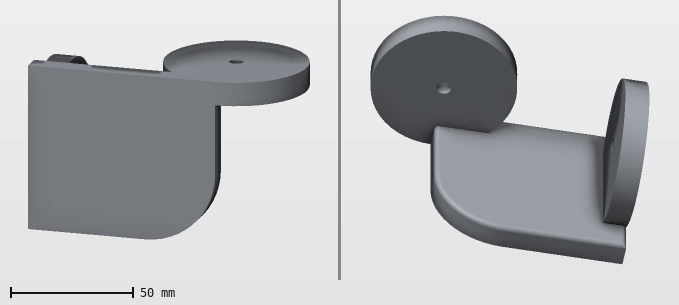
import cadquery as cq

overall_length = 110.0
plate_height = 70.0
thickness = 10.0
disc_radius = 30.0
hole_diameter = 5.9
edge_round = 2.0

plate_length = overall_length - disc_radius

side_hole_y = 31.4
side_hole_z = 37.5


def make_plate():
    """Upright plate with one large lower corner and a rounded inner rim."""
    plate = cq.Workplane("XY").box(plate_length, thickness, plate_height, centered=False)
    plate = plate.edges(">X and <Z").fillet(disc_radius)
    return plate.faces(">Y").edges().fillet(edge_round)


def make_top_disc():
    """Horizontal disc, flush with the plate's top and tangent to its outer face."""
    return (
        cq.Workplane("XY", origin=(plate_length, disc_radius, plate_height))
        .circle(disc_radius)
        .extrude(-thickness)
    )


def make_side_disc():
    """Upright disc, flush with the plate's end and centred on its height."""
    return (
        cq.Workplane("YZ", origin=(0, disc_radius, plate_height / 2))
        .circle(disc_radius)
        .extrude(thickness)
    )


def make_top_hole():
    return (
        cq.Workplane("XY", origin=(plate_length, disc_radius, plate_height))
        .circle(hole_diameter / 2)
        .extrude(-thickness)
    )


def make_side_hole():
    return (
        cq.Workplane("YZ", origin=(0, side_hole_y, side_hole_z))
        .circle(hole_diameter / 2)
        .extrude(thickness)
    )


bracket = make_plate().union(make_top_disc()).union(make_side_disc())
result = bracket.cut(make_top_hole()).cut(make_side_hole())